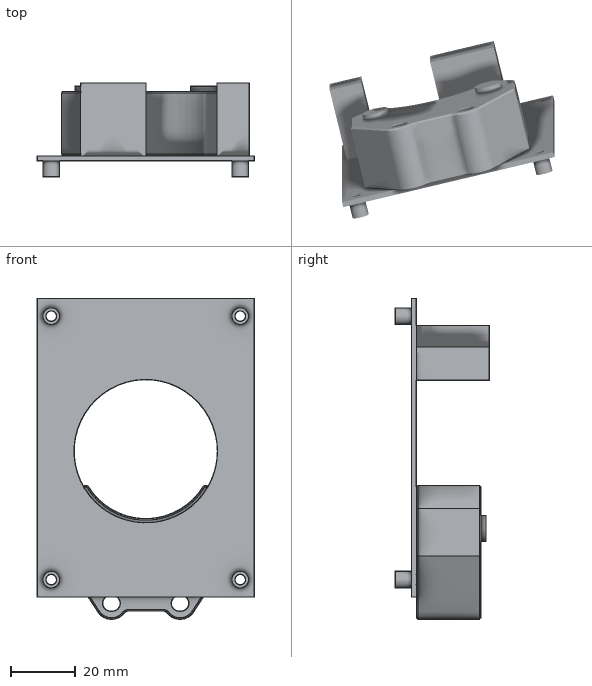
import cadquery as cq
import math


PLATE_WIDTH = 67.0
PLATE_TOP = 47.1
PLATE_BOTTOM = -45.0
PLATE_THICKNESS = 1.6
PLATE_HEIGHT = PLATE_TOP - PLATE_BOTTOM
PLATE_CENTER_Z = (PLATE_TOP + PLATE_BOTTOM) / 2
PLATE_BORE_RADIUS = 22.1

STANDOFF_SPACING_X = 58.3
STANDOFF_SPACING_Z = 81.3
STANDOFF_RADIUS = 2.6
STANDOFF_HOLE_RADIUS = 1.6
STANDOFF_LENGTH = 4.95

BLOCK_DEPTH = 22.5
BLOCK_HEIGHT = 10.3
LEFT_BLOCK_LEFT = -20.1
LEFT_BLOCK_WIDTH = 20.2
LEFT_BLOCK_BOTTOM = 28.5
RIGHT_BLOCK_LEFT = 22.0
RIGHT_BLOCK_WIDTH = 10.0
RIGHT_BLOCK_BOTTOM = 21.9

CRADLE_DEPTH = 19.9
CRADLE_BORE_RADIUS = 20.8
CRADLE_HALF_WIDTH = 26.0
SHOULDER_Z = -17.7
WAIST_Z = -32.3
SADDLE_Z = -49.3
SHOULDER_TIP_FILLET = 1.0
SADDLE_FILLET = 2.0
CRADLE_CHAMFER = 0.5

LUG_X = 10.6
LUG_BOTTOM = PLATE_TOP - 99.0
LUG_RADIUS = 4.95
LUG_Z = LUG_BOTTOM + LUG_RADIUS
LUG_SLOT_LENGTH = 5.3
LUG_SLOT_HEIGHT = 4.8

BOSS_X = 17.8
BOSS_Z = -23.9
BOSS_RADIUS = 4.1
BOSS_HEIGHT = 1.6


def plane_at(y):
    """Sketch plane with X right and Z up; positive extrusion goes towards -Y."""
    return cq.Workplane("XZ", origin=(0, y, 0))


def cylinders(points, radius, y_front, length):
    """Cylinders along Y that start at y_front and run backwards."""
    return plane_at(y_front).pushPoints(points).circle(radius).extrude(-length)


def lug_point(angle):
    """Point on the rim of the right lug at the given angle from +X."""
    return (LUG_X + LUG_RADIUS * math.cos(angle), LUG_Z + LUG_RADIUS * math.sin(angle))


def mirrored(point):
    return (-point[0], point[1])


def make_plate():
    plate = plane_at(0).center(0, PLATE_CENTER_Z).rect(PLATE_WIDTH, PLATE_HEIGHT).extrude(-PLATE_THICKNESS)
    return plate.cut(cylinders([(0, 0)], PLATE_BORE_RADIUS, 0, PLATE_THICKNESS))


def make_block(left, width, bottom):
    block = cq.Workplane("XY").box(width, BLOCK_DEPTH, BLOCK_HEIGHT, centered=False)
    return block.translate((left, PLATE_THICKNESS, bottom))


def make_cradle():
    peak = (0, SHOULDER_Z + CRADLE_HALF_WIDTH)
    shoulder = (CRADLE_HALF_WIDTH, SHOULDER_Z)
    waist = (CRADLE_HALF_WIDTH, WAIST_Z)

    to_waist_x = waist[0] - LUG_X
    to_waist_z = waist[1] - LUG_Z
    waist_angle = math.atan2(to_waist_z, to_waist_x)
    tangent_angle = waist_angle - math.acos(LUG_RADIUS / math.hypot(to_waist_x, to_waist_z))
    lug_start = lug_point(tangent_angle)
    lug_tip = lug_point(-math.pi / 2)
    lug_end = lug_point(math.pi - math.asin((SADDLE_Z - LUG_Z) / LUG_RADIUS))

    body = (
        plane_at(PLATE_THICKNESS)
        .moveTo(*peak)
        .lineTo(*shoulder)
        .lineTo(*waist)
        .lineTo(*lug_start)
        .threePointArc(lug_tip, lug_end)
        .lineTo(*mirrored(lug_end))
        .threePointArc(mirrored(lug_tip), mirrored(lug_start))
        .lineTo(*mirrored(waist))
        .lineTo(*mirrored(shoulder))
        .close()
        .extrude(-CRADLE_DEPTH)
    )
    body = body.cut(cylinders([(0, 0)], CRADLE_BORE_RADIUS, PLATE_THICKNESS, CRADLE_DEPTH))
    body = body.edges("|Y").edges(">Z").fillet(SHOULDER_TIP_FILLET)

    middle_y = PLATE_THICKNESS + CRADLE_DEPTH / 2
    for corner in (lug_end, mirrored(lug_end)):
        corner_edge = cq.selectors.NearestToPointSelector((corner[0], middle_y, corner[1]))
        body = body.edges("|Y").edges(corner_edge).fillet(SADDLE_FILLET)
    body = body.faces("<Y or >Y").edges().chamfer(CRADLE_CHAMFER)

    lug_centers = [(-LUG_X, LUG_Z), (LUG_X, LUG_Z)]
    lug_slots = plane_at(PLATE_THICKNESS).pushPoints(lug_centers).slot2D(LUG_SLOT_LENGTH, LUG_SLOT_HEIGHT)
    body = body.cut(lug_slots.extrude(-CRADLE_DEPTH))

    boss_centers = [(-BOSS_X, BOSS_Z), (BOSS_X, BOSS_Z)]
    return body.union(cylinders(boss_centers, BOSS_RADIUS, PLATE_THICKNESS + CRADLE_DEPTH, BOSS_HEIGHT))


standoff_centers = [
    (side * STANDOFF_SPACING_X / 2, PLATE_CENTER_Z + level * STANDOFF_SPACING_Z / 2)
    for side in (-1, 1)
    for level in (-1, 1)
]
standoff_stack = STANDOFF_LENGTH + PLATE_THICKNESS

result = (
    make_plate()
    .union(cylinders(standoff_centers, STANDOFF_RADIUS, -STANDOFF_LENGTH, STANDOFF_LENGTH))
    .cut(cylinders(standoff_centers, STANDOFF_HOLE_RADIUS, -STANDOFF_LENGTH, standoff_stack))
    .union(make_block(LEFT_BLOCK_LEFT, LEFT_BLOCK_WIDTH, LEFT_BLOCK_BOTTOM))
    .union(make_block(RIGHT_BLOCK_LEFT, RIGHT_BLOCK_WIDTH, RIGHT_BLOCK_BOTTOM))
    .union(make_cradle())
)